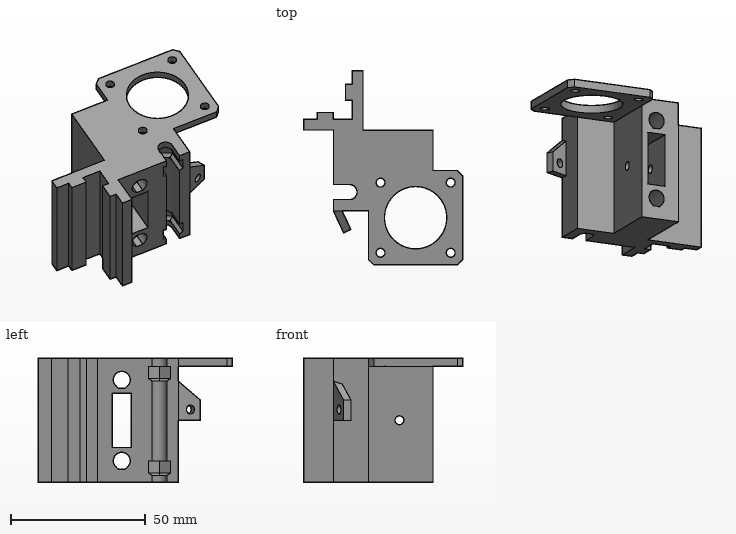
import cadquery as cq
import math

HEIGHT = 46.0
BLOCK_LEFT = 11.0
BLOCK_RIGHT = 48.0
BLOCK_BACK = 50.0
ARM_FRONT = 20.0

BRACKET_THICKNESS = 4.0
BRACKET_LENGTH = 18.0
KEY_WIDTH = 6.0
KEY_DEPTH = 2.5
KEY_OFFSET = 10.0
CORNER_X = BRACKET_LENGTH
CORNER_Y = BLOCK_BACK + BRACKET_THICKNESS

MOTOR_SIZE = 35.0
MOTOR_RIGHT = 59.0
MOTOR_LEFT = MOTOR_RIGHT - MOTOR_SIZE
PLATE_THICKNESS = 3.0
PLATE_CHAMFER = 2.0
MOTOR_BOSS_DIAMETER = 23.0
MOTOR_HOLE_SPACING = 26.0
SCREW_DIAMETER = 3.2

WINDOW_Y = 41.0
WINDOW_WIDTH = 7.0
WINDOW_HEIGHT = 20.0
MOUNT_DIAMETER = 6.2
MOUNT_SPACING = 30.0
FLANK_ANGLE = math.radians(45)

CROSS_HOLE_X = 35.5

ROD_X = 17.0
ROD_Y = 27.0
ROD_DIAMETER = 5.5
NUT_WIDTH = 8.2
NUT_HEIGHT = 4.5
NUT_FUNNEL_HEIGHT = 0.95
NUT_BOTTOMS = (3.5, 38.5)

TAB_ANGLE = 25.0
TAB_LENGTH = 9.0
TAB_THICKNESS = 3.0
TAB_BOTTOM = HEIGHT / 2
TAB_TIP_TOP = 30.5
TAB_ROOT_TOP = 37.5
TAB_HOLE_DISTANCE = 4.95
TAB_HOLE_Z = 27.0

HEXAGON_HALF_SIDE_ANGLE = math.radians(30)
MARGIN = 5.0


def box(x_range, y_range, z_range):
    """Box spanning the given ranges."""
    (x0, x1), (y0, y1), (z0, z1) = x_range, y_range, z_range
    return cq.Workplane("XY").box(x1 - x0, y1 - y0, z1 - z0, centered=False).translate((x0, y0, z0))


def make_block():
    """L-shaped block: a full-width back part and an arm that reaches forward."""
    full_height = (0, HEIGHT)
    back = box((BLOCK_LEFT, BLOCK_RIGHT), (MOTOR_SIZE, BLOCK_BACK), full_height)
    arm = box((BLOCK_LEFT, MOTOR_LEFT), (ARM_FRONT, MOTOR_SIZE), full_height)
    return back.union(arm)


def make_bracket():
    """Two perpendicular walls, each with a key on its inner face."""
    full_height = (0, HEIGHT)
    wall_right = CORNER_X + BRACKET_THICKNESS
    wall_back = CORNER_Y + BRACKET_LENGTH
    key_x = CORNER_X - KEY_OFFSET
    key_y = CORNER_Y + KEY_OFFSET
    half_key = KEY_WIDTH / 2

    bracket = box((0, wall_right), (BLOCK_BACK, CORNER_Y), full_height)
    bracket = bracket.union(box((CORNER_X, wall_right), (BLOCK_BACK, wall_back), full_height))
    bracket = bracket.union(
        box((key_x - half_key, key_x + half_key), (BLOCK_BACK, CORNER_Y + KEY_DEPTH), full_height)
    )
    return bracket.union(
        box((CORNER_X - KEY_DEPTH, wall_right), (key_y - half_key, key_y + half_key), full_height)
    )


def make_motor_plate():
    """Square plate with its three free corners chamfered."""
    plate = box((MOTOR_LEFT, MOTOR_RIGHT), (0, MOTOR_SIZE), (HEIGHT - PLATE_THICKNESS, HEIGHT))
    return plate.edges("|Z and (>X or <Y)").chamfer(PLATE_CHAMFER)


def make_motor_holes():
    """Central opening and four screw holes, cut straight down."""
    plane = cq.Workplane("XY", origin=((MOTOR_LEFT + MOTOR_RIGHT) / 2, MOTOR_SIZE / 2, 0))
    opening = plane.circle(MOTOR_BOSS_DIAMETER / 2).extrude(HEIGHT)
    screws = (
        plane.rect(MOTOR_HOLE_SPACING, MOTOR_HOLE_SPACING, forConstruction=True)
        .vertices()
        .circle(SCREW_DIAMETER / 2)
        .extrude(HEIGHT)
    )
    return opening.union(screws)


def make_mount_hole(z):
    """Hole along X: round on top, with 45 degree flanks and a flat floor below."""
    radius = MOUNT_DIAMETER / 2
    tangent = radius * math.sin(FLANK_ANGLE)
    half_floor = radius * math.tan(FLANK_ANGLE / 2)
    return (
        cq.Workplane("YZ", origin=(0, WINDOW_Y, z))
        .moveTo(-half_floor, -radius)
        .lineTo(half_floor, -radius)
        .lineTo(tangent, -tangent)
        .threePointArc((0, radius), (-tangent, -tangent))
        .close()
        .extrude(BLOCK_RIGHT + MARGIN)
    )


def make_window():
    """Rectangular window along X, with a mounting hole above and below it."""
    middle = HEIGHT / 2
    cutter = box(
        (0, BLOCK_RIGHT + MARGIN),
        (WINDOW_Y - WINDOW_WIDTH / 2, WINDOW_Y + WINDOW_WIDTH / 2),
        (middle - WINDOW_HEIGHT / 2, middle + WINDOW_HEIGHT / 2),
    )
    for side in (-1, 1):
        cutter = cutter.union(make_mount_hole(middle + side * MOUNT_SPACING / 2))
    return cutter


def make_cross_hole():
    """Screw hole along Y at mid height."""
    return (
        cq.Workplane("XZ", origin=(CROSS_HOLE_X, 0, HEIGHT / 2))
        .circle(SCREW_DIAMETER / 2)
        .extrude(-(BLOCK_BACK + MARGIN))
    )


def make_rod_slot():
    """Round-ended vertical slot, open towards -X."""
    radius = ROD_DIAMETER / 2
    slot = box((0, ROD_X), (ROD_Y - radius, ROD_Y + radius), (0, HEIGHT))
    rod = cq.Workplane("XY", origin=(ROD_X, ROD_Y, 0)).circle(radius).extrude(HEIGHT)
    return slot.union(rod)


def nut_outline(plane, width):
    """Half hexagon pointing to +X, with its flats extended out through the -X face."""
    half_width = width / 2
    open_end = BLOCK_LEFT - MARGIN - ROD_X
    shoulder = half_width * math.tan(HEXAGON_HALF_SIDE_ANGLE)
    tip = half_width / math.cos(HEXAGON_HALF_SIDE_ANGLE)
    return plane.polyline(
        [
            (open_end, -half_width),
            (shoulder, -half_width),
            (tip, 0),
            (shoulder, half_width),
            (open_end, half_width),
        ]
    ).close()


def make_nut_pocket(bottom):
    """Nut pocket with a funnel below it that narrows to the slot width."""
    plane = cq.Workplane("XY", origin=(ROD_X, ROD_Y, bottom))
    pocket = nut_outline(plane, NUT_WIDTH).extrude(NUT_HEIGHT)
    lower_plane = nut_outline(plane, NUT_WIDTH).workplane(offset=-NUT_FUNNEL_HEIGHT)
    funnel = nut_outline(lower_plane, ROD_DIAMETER).loft(ruled=True)
    return pocket.union(funnel)


def make_tab():
    """Slanted tab with a sloping top and a screw hole across its thickness."""
    angle = math.radians(TAB_ANGLE)
    across = cq.Vector(math.cos(angle), math.sin(angle), 0)
    outward = cq.Vector(math.sin(angle), -math.cos(angle), 0)
    outer_face = cq.Plane(origin=(BLOCK_LEFT, ARM_FRONT, 0), xDir=outward, normal=across * -1)
    tab = (
        cq.Workplane(outer_face)
        .polyline(
            [
                (0, TAB_BOTTOM),
                (TAB_LENGTH, TAB_BOTTOM),
                (TAB_LENGTH, TAB_TIP_TOP),
                (0, TAB_ROOT_TOP),
            ]
        )
        .close()
        .extrude(-TAB_THICKNESS)
    )
    hole = (
        cq.Workplane(outer_face)
        .center(TAB_HOLE_DISTANCE, TAB_HOLE_Z)
        .circle(SCREW_DIAMETER / 2)
        .extrude(-TAB_THICKNESS)
    )
    return tab.cut(hole)


result = make_block().union(make_bracket()).union(make_motor_plate())
result = result.cut(make_motor_holes())
result = result.cut(make_window())
result = result.cut(make_cross_hole())
result = result.cut(make_rod_slot())
for nut_bottom in NUT_BOTTOMS:
    result = result.cut(make_nut_pocket(nut_bottom))
result = result.union(make_tab())